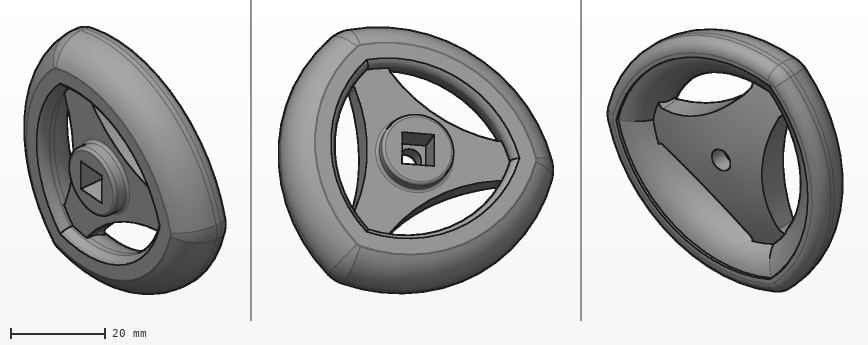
import cadquery as cq
import math

SIDES = 3
SIDE_STEP = 360 / SIDES

side_radius = 36.7
side_center_offset = 8.6
corner_radius = 7.2

rim_front = 0.55
rim_back = 12.6
crown_depth = 8.0
crown_radius = 8.55
crown_edge_radius = 0.6
back_edge_radius = 2.85

opening_radius = 26.2
front_lip_width = 1.35
front_lip_depth = 2.25
opening_band_width = 1.25
back_flare_radius = 7.95
back_flare_width = 6.55

plate_front = 3.45
plate_dome_peak = 11.7
plate_dome_radius = 57.1
plate_overlap = 1.8
plate_radius = opening_radius + plate_overlap
window_radius = 35.7
window_nearest = 10.3
window_corner_radius = 1.55

hub_diameter = 15.75
hub_edge_radius = 0.65
square_size = 7.0
square_depth = 7.5
bore_diameter = 5.0

center_distance = side_radius - corner_radius
joint_angle = math.degrees(math.asin(side_center_offset * math.sin(math.pi / SIDES) / center_distance))
corner_center = (
    center_distance * math.cos(math.radians(joint_angle))
    - side_center_offset * math.cos(math.pi / SIDES)
)


def section():
    """Workplane with local x radial (+X) and local y along +Y."""
    return cq.Workplane("XY")


def turn(body, angle):
    """Rotate counter-clockwise about the wheel axis, as seen from -Y."""
    return body.rotate((0, 0, 0), (0, 1, 0), -angle)


def repeat(body):
    return [turn(body, i * SIDE_STEP) for i in range(SIDES)]


def common(bodies):
    shared = bodies[0]
    for body in bodies[1:]:
        shared = shared.intersect(body)
    return shared


def wedge(radius, half_angle):
    """Pie slice of the rim, centred on +X, with the crowned front and rounded back."""
    crown_x = radius - crown_radius
    crown_y = rim_front + crown_depth
    edge_reach = crown_radius - crown_edge_radius
    edge_y = rim_front + crown_edge_radius
    edge_angle = math.asin((crown_y - edge_y) / edge_reach)
    edge_x = crown_x + edge_reach * math.cos(edge_angle)

    def on_crown(angle):
        return (crown_x + crown_radius * math.cos(angle), crown_y - crown_radius * math.sin(angle))

    blend_angle = (edge_angle + math.pi / 2) / 2
    blend_middle = (
        edge_x + crown_edge_radius * math.cos(blend_angle),
        edge_y - crown_edge_radius * math.sin(blend_angle),
    )
    profile = (
        section()
        .moveTo(0, rim_front)
        .lineTo(edge_x, rim_front)
        .threePointArc(blend_middle, on_crown(edge_angle))
        .threePointArc(on_crown(edge_angle / 2), (radius, crown_y))
        .lineTo(radius, rim_back - back_edge_radius)
        .radiusArc((radius - back_edge_radius, rim_back), -back_edge_radius)
        .lineTo(0, rim_back)
        .close()
    )
    slice_body = profile.revolve(2 * half_angle, (0, 0, 0), (0, 1, 0))
    return turn(slice_body, half_angle)


def rim_blank():
    side_half_angle = SIDE_STEP / 2 - joint_angle
    side = wedge(side_radius, side_half_angle).translate((-side_center_offset, 0, 0))
    corner = wedge(corner_radius, joint_angle).translate((corner_center, 0, 0))
    side = turn(side, SIDE_STEP / 2)
    blank = cq.Workplane("XY")
    for body in repeat(side) + repeat(corner):
        blank = blank.union(body)
    return blank


def opening():
    """Opening with a rounded front lip, a straight band and a flared back."""
    band_start = rim_front + front_lip_depth
    band_end = band_start + opening_band_width
    lip_radius = (front_lip_width**2 + front_lip_depth**2) / (2 * front_lip_width)
    flare_edge = opening_radius + back_flare_width
    flare_depth = math.sqrt(back_flare_radius**2 - (back_flare_radius - back_flare_width) ** 2)
    disc = (
        section()
        .moveTo(0, rim_front)
        .lineTo(opening_radius + front_lip_width, rim_front)
        .radiusArc((opening_radius, band_start), lip_radius)
        .lineTo(opening_radius, band_end)
        .radiusArc((flare_edge, band_end + flare_depth), back_flare_radius)
        .lineTo(flare_edge, rim_back)
        .lineTo(0, rim_back)
        .close()
        .revolve(360, (0, 0, 0), (0, 1, 0))
        .translate((-side_center_offset, 0, 0))
    )
    return common(repeat(turn(disc, SIDE_STEP / 2)))


def cylinder(radius, start, length, x=0):
    return cq.Workplane("XZ", origin=(x, start, 0)).circle(radius).extrude(-length)


def window(start, length):
    """Space between two spokes, on +X: a concave spoke edge with rounded corners at the rim."""
    edge_center = cq.Vector(window_nearest + window_radius, 0)
    rim_center = cq.Vector(-side_center_offset, 0)
    spacing = edge_center.x - rim_center.x
    edge_reach = window_radius - window_corner_radius
    rim_reach = plate_radius - window_corner_radius
    along = (rim_reach**2 - edge_reach**2 + spacing**2) / (2 * spacing)
    across = math.sqrt(rim_reach**2 - along**2)
    round_center = rim_center + cq.Vector(along, across)

    to_spoke = (round_center - edge_center).normalized()
    to_rim = (round_center - rim_center).normalized()
    to_corner = (to_spoke + to_rim).normalized()
    spoke_end = edge_center + to_spoke * window_radius
    corner = round_center + to_corner * window_corner_radius
    rim_end = rim_center + to_rim * plate_radius

    def upper(point):
        return (point.x, point.y)

    def lower(point):
        return (point.x, -point.y)

    return (
        cq.Workplane("XZ", origin=(0, start, 0))
        .moveTo(*lower(spoke_end))
        .threePointArc((window_nearest, 0), upper(spoke_end))
        .threePointArc(upper(corner), upper(rim_end))
        .threePointArc((plate_radius - side_center_offset, 0), lower(rim_end))
        .threePointArc(lower(corner), lower(spoke_end))
        .close()
        .extrude(-length)
    )


def spoke_plate():
    """Three spokes left between concave windows, thinning outward under a spherical back."""
    thickness = plate_dome_peak - plate_front
    dome = cq.Workplane("XY").sphere(plate_dome_radius).translate((0, plate_dome_peak - plate_dome_radius, 0))
    disc = cylinder(plate_radius, plate_front, thickness, -side_center_offset)
    plate = common(repeat(turn(disc, SIDE_STEP / 2)) + [dome])
    for body in repeat(turn(window(plate_front, thickness), SIDE_STEP / 2)):
        plate = plate.cut(body)
    return plate


def hub():
    """Boss with a rounded front edge and a fillet where it meets the spoke plate."""
    radius = hub_diameter / 2
    root = plate_front + hub_edge_radius
    return (
        section()
        .lineTo(radius - hub_edge_radius, 0)
        .radiusArc((radius, hub_edge_radius), -hub_edge_radius)
        .lineTo(radius, plate_front - hub_edge_radius)
        .radiusArc((radius + hub_edge_radius, plate_front), hub_edge_radius)
        .lineTo(radius + hub_edge_radius, root)
        .lineTo(0, root)
        .close()
        .revolve(360, (0, 0, 0), (0, 1, 0))
    )


square_socket = cq.Workplane("XZ").rect(square_size, square_size).extrude(-square_depth)
bore = cylinder(bore_diameter / 2, 0, rim_back)

result = rim_blank().cut(opening()).union(spoke_plate()).union(hub()).cut(square_socket).cut(bore)